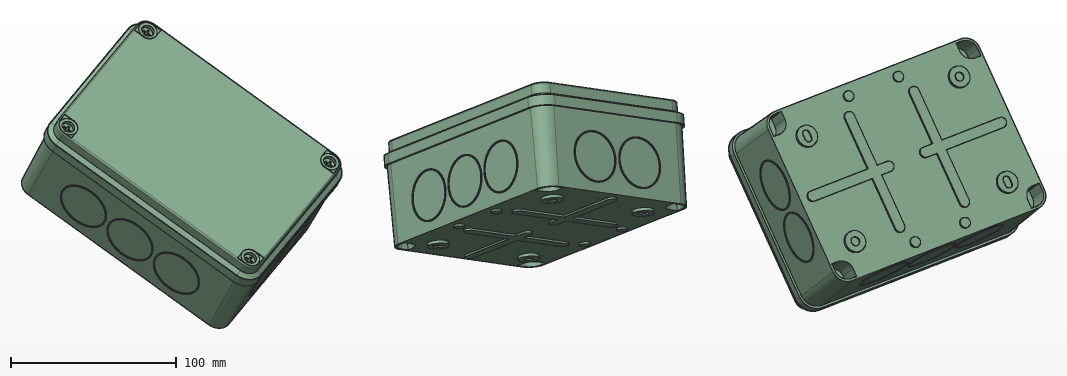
import cadquery as cq
import math

TILT_ABOUT_Y = 33.3
TILT_ABOUT_X = 20.0

CORNER_X = 67.4
CORNER_Y = 47.5
LID_RADIUS = 8.0
SEAT_RADIUS = 11.1
RIM_RADIUS = 11.5
WALL_RADIUS = 10.0

RIM_BOTTOM = 50.4
SEAM = 56.9
BEVEL_TOP = 58.7
LID_TOP = 65.7

WALL_DRAFT = 1.0
LID_EDGE_ROUND = 1.0

SCREW_X = 67.9
SCREW_Y = 48.2
SCREW_SEAT_RADIUS = 5.9
SCREW_SEAT_DEPTH = 0.5
CORNER_SINK = 0.3
CORNER_LIP = 0.2
SCREW_HOLE_RADIUS = 4.0
SCREW_HOLE_DEPTH = 2.5
CROSS_LENGTH = 5.2
CROSS_WIDTH = 1.1
CROSS_DEPTH = 1.0

RING_RADIUS = 16.0
RING_GROOVE = 0.7
RING_DEPTH = 0.5
RING_HEIGHT = 22.2
RING_PITCH = 34.7

POCKET_WALL = 1.5
POCKET_X = 63.3
POCKET_Y = 42.5
POCKET_ROUND = 7.4
POCKET_DEPTH = 16.4
FOOT_X = 55.1
FOOT_Y = 35.2
FOOT_RADIUS = 6.7
FOOT_HEIGHT = 2.0
FOOT_HOLE_RADIUS = 2.8
FOOT_SLOT_LENGTH = 7.7
FOOT_SLOT_WIDTH = 4.5
FOOT_HOLE_DEPTH = 1.0
STUD_X = 18.0
STUD_Y = 48.7
STUD_RADIUS = 3.3
RIB_HEIGHT = 1.3
RIB_WIDTH = 6.5
CROSS_RIB_X = 23.4
CROSS_RIB_LENGTH = 80.1
LONG_RIB_INNER = 9.8
LONG_RIB_OUTER = 71.6

CORNERS = [(sx, sy) for sx in (-1, 1) for sy in (-1, 1)]


def plane_at(x, y, level):
    return cq.Workplane("XY", origin=(x, y, level))


def rounded_outline(radius, level):
    """Rectangle whose corner arcs of the given radius stay on the shared corner centres."""
    sketch = cq.Sketch().rect(2 * (CORNER_X + radius), 2 * (CORNER_Y + radius)).vertices().fillet(radius)
    return plane_at(0, 0, level).placeSketch(sketch)


def rounded_block(radius, bottom, top, taper=0):
    return rounded_outline(radius, bottom).extrude(top - bottom, taper=taper)


def corner_block(sx, sy, inner_x, inner_y, inner_round, bottom, top):
    """Block that reaches from a rounded inner corner out past one corner of the box."""
    reach = 2 * CORNER_X
    block = plane_at(sx * (inner_x + reach / 2), sy * (inner_y + reach / 2), bottom)
    return block.rect(reach, reach).extrude(top - bottom).edges("|Z").fillet(inner_round)


def wall_ring(centre, along, outward):
    """Ring groove cutter on a drafted wall; `outward` is the horizontal direction out of the wall."""
    lean = math.radians(WALL_DRAFT)
    normal = cq.Vector(*outward) * math.cos(lean) - cq.Vector(0, 0, math.sin(lean))
    wall = cq.Workplane(cq.Plane(origin=centre, xDir=along, normal=normal.toTuple()))
    return wall.circle(RING_RADIUS).circle(RING_RADIUS - RING_GROOVE).extrude(-RING_DEPTH)


def make_shell():
    """Drafted housing block with its rim, knock-out rings and corner pockets."""
    slope = math.tan(math.radians(WALL_DRAFT))
    wall = rounded_outline(WALL_RADIUS, RIM_BOTTOM).extrude(-RIM_BOTTOM, taper=WALL_DRAFT)
    shell = wall.union(rounded_block(RIM_RADIUS, RIM_BOTTOM, SEAM))

    inset = (RIM_BOTTOM - RING_HEIGHT) * slope
    side_x = CORNER_X + WALL_RADIUS - inset
    side_y = CORNER_Y + WALL_RADIUS - inset
    for side in (-1, 1):
        for step in (-1, 0, 1):
            centre = (step * RING_PITCH, side * side_y, RING_HEIGHT)
            shell = shell.cut(wall_ring(centre, (1, 0, 0), (0, side, 0)))
        for step in (-0.5, 0.5):
            centre = (side * side_x, step * RING_PITCH, RING_HEIGHT)
            shell = shell.cut(wall_ring(centre, (0, 1, 0), (side, 0, 0)))

    inside = rounded_block(WALL_RADIUS - RIM_BOTTOM * slope - POCKET_WALL, 0, POCKET_DEPTH)
    for sx, sy in CORNERS:
        pocket = corner_block(sx, sy, POCKET_X, POCKET_Y, POCKET_ROUND, 0, POCKET_DEPTH)
        shell = shell.cut(pocket.intersect(inside))
    return shell


def make_foot(sx, sy):
    """Round foot with a shallow hole; on one diagonal the hole is a slot."""
    x, y = sx * FOOT_X, sy * FOOT_Y
    foot = plane_at(x, y, 0).circle(FOOT_RADIUS).extrude(-FOOT_HEIGHT)
    hole_plane = plane_at(x, y, -FOOT_HEIGHT)
    if sx == sy:
        hole = hole_plane.slot2D(FOOT_SLOT_LENGTH, FOOT_SLOT_WIDTH, 90).extrude(FOOT_HOLE_DEPTH)
    else:
        hole = hole_plane.circle(FOOT_HOLE_RADIUS).extrude(FOOT_HOLE_DEPTH)
    return foot.cut(hole)


def make_housing():
    housing = make_shell()
    for sx, sy in CORNERS:
        stud = plane_at(sx * STUD_X, sy * STUD_Y, 0).circle(STUD_RADIUS).extrude(-RIB_HEIGHT)
        housing = housing.union(make_foot(sx, sy)).union(stud)
    long_rib_length = LONG_RIB_OUTER - LONG_RIB_INNER
    long_rib_x = (LONG_RIB_OUTER + LONG_RIB_INNER) / 2
    for side in (-1, 1):
        cross_rib = plane_at(side * CROSS_RIB_X, 0, 0).slot2D(CROSS_RIB_LENGTH, RIB_WIDTH, 90)
        long_rib = plane_at(side * long_rib_x, 0, 0).slot2D(long_rib_length, RIB_WIDTH)
        housing = housing.union(cross_rib.extrude(-RIB_HEIGHT)).union(long_rib.extrude(-RIB_HEIGHT))
    return housing


def screw_seat(sx, sy):
    """Shallow seat, round hole and the cross slot in the screw head at its floor."""
    x, y = sx * SCREW_X, sy * SCREW_Y
    seat_floor = LID_TOP - SCREW_SEAT_DEPTH
    head_top = seat_floor - SCREW_HOLE_DEPTH
    seat = plane_at(x, y, seat_floor).circle(SCREW_SEAT_RADIUS).extrude(SCREW_SEAT_DEPTH)
    cutter = seat.union(plane_at(x, y, head_top).circle(SCREW_HOLE_RADIUS).extrude(SCREW_HOLE_DEPTH))
    for length, width in ((CROSS_LENGTH, CROSS_WIDTH), (CROSS_WIDTH, CROSS_LENGTH)):
        cutter = cutter.union(plane_at(x, y, head_top).rect(length, width).extrude(-CROSS_DEPTH))
    return cutter


def make_lid():
    bevel_angle = math.degrees(math.atan((SEAT_RADIUS - LID_RADIUS) / (BEVEL_TOP - SEAM)))
    bevel = rounded_block(SEAT_RADIUS, SEAM, BEVEL_TOP, taper=bevel_angle)
    cap = rounded_block(LID_RADIUS, BEVEL_TOP, LID_TOP).faces(">Z").edges().fillet(LID_EDGE_ROUND)
    lid = bevel.union(cap)

    sink_floor = LID_TOP - CORNER_SINK
    sink_x = SCREW_X - SCREW_SEAT_RADIUS
    sink_y = SCREW_Y - SCREW_SEAT_RADIUS
    flat_top = rounded_block(LID_RADIUS - LID_EDGE_ROUND - CORNER_LIP, sink_floor, LID_TOP)
    for sx, sy in CORNERS:
        sink = corner_block(sx, sy, sink_x, sink_y, SCREW_SEAT_RADIUS, sink_floor, LID_TOP)
        lid = lid.cut(sink.intersect(flat_top)).cut(screw_seat(sx, sy))
    return lid


def place(body):
    return body.rotate((0, 0, 0), (0, 1, 0), TILT_ABOUT_Y).rotate((0, 0, 0), (1, 0, 0), TILT_ABOUT_X)


housing = place(make_housing())
lid = place(make_lid())

result = cq.Compound.makeCompound([housing.val(), lid.val()])